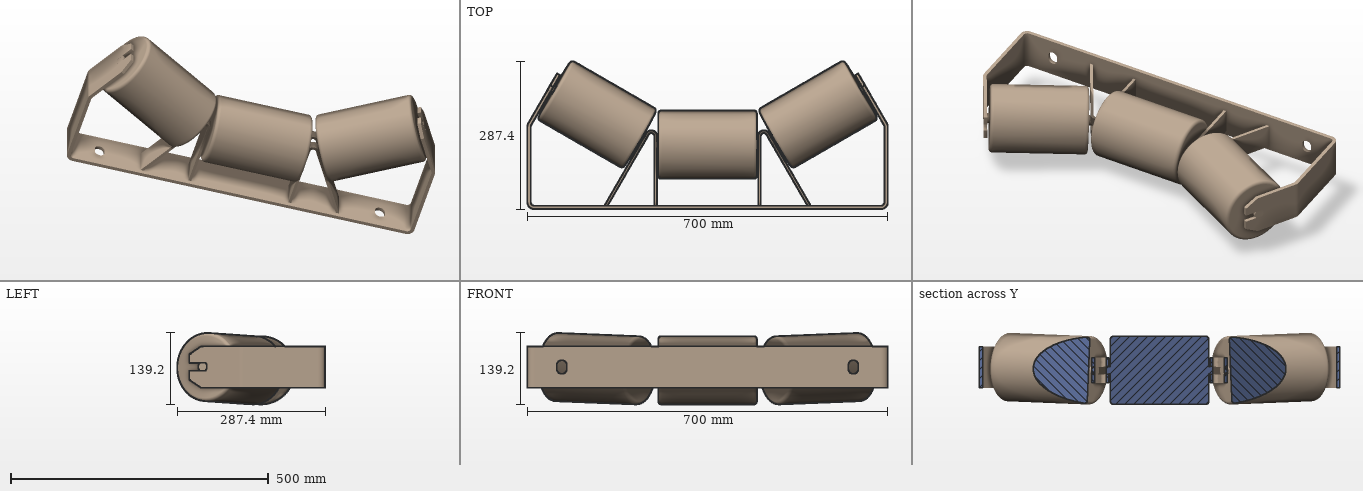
import cadquery as cq
import math

frame_length = 700.0
frame_height = 80.5
frame_thickness = 7.0
frame_bend_radius = 14.0
arm_bend_y = 159.5
arm_angle = 30.0
arm_length = 112.0
arm_chamfer_length = 26.5
arm_chamfer_height = 15.5
mount_hole_x = 283.0
mount_hole_width = 19.5
mount_hole_height = 26.5

bracket_height = 50.0
bracket_thickness = 5.5
bracket_bend_radius = 11.0
bracket_face_x = 98.0
bracket_top_y = 153.0

roller_diameter = 133.0
roller_length = 192.0
roller_edge_fillet = 6.0
shaft_diameter = 19.5
shaft_flat_width = 15.0
middle_roller_y = 125.0
middle_roller_z = -6.0
side_roller_x = 214.0
side_roller_y = 184.0
side_roller_z = middle_roller_z / 2
side_roller_tilt = 2.0

slot_run = 70.0

sin_arm = math.sin(math.radians(arm_angle))
cos_arm = math.cos(math.radians(arm_angle))

arm_bend_center = (-frame_length / 2 + frame_bend_radius, arm_bend_y)
bracket_bend_center = (-bracket_face_x - bracket_bend_radius, bracket_top_y - bracket_bend_radius)


def inward_distance(point):
    """Distance of an XY point along the left roller's inward axis direction."""
    return point[0] * cos_arm - point[1] * sin_arm


side_roller_position = inward_distance((-side_roller_x, side_roller_y))
arm_outer_position = inward_distance(arm_bend_center) - frame_bend_radius
bracket_outer_position = inward_distance(bracket_bend_center) - bracket_bend_radius
arm_reach = side_roller_position - arm_outer_position
bracket_reach = bracket_outer_position + bracket_thickness - side_roller_position
middle_reach = bracket_face_x + bracket_thickness


def mirrored(body):
    return body.mirror("YZ")


def place_left(body):
    """Move a body built along X about the origin to the left side roller's place."""
    return (
        body.rotate((0, 0, 0), (0, 1, 0), side_roller_tilt)
        .rotate((0, 0, 0), (0, 0, 1), -arm_angle)
        .translate((-side_roller_x, side_roller_y, side_roller_z))
    )


def place_middle(body):
    return body.translate((0, middle_roller_y, middle_roller_z))


def shaft_section(x_start, x_end):
    """Round shaft along X with a flat above and a flat below."""
    length = x_end - x_start
    shaft = cq.Workplane("YZ", origin=(x_start, 0, 0)).circle(shaft_diameter / 2).extrude(length)
    flats = (
        cq.Workplane("YZ", origin=(x_start, 0, 0))
        .rect(shaft_diameter, shaft_flat_width)
        .extrude(length)
    )
    return shaft.intersect(flats)


def make_slot(x_start, x_end):
    """Cutter for a shaft seat that is open toward +Y."""
    opening = cq.Workplane("XY").box(
        x_end - x_start, slot_run, shaft_flat_width, centered=(False, False, True)
    )
    return shaft_section(x_start, x_end).union(opening.translate((x_start, 0, 0)))


def make_roller(left_reach, right_reach):
    """Roller shell along X with its shaft, reaching the given distances from the middle."""
    shell = (
        cq.Workplane("YZ", origin=(-roller_length / 2, 0, 0))
        .circle(roller_diameter / 2)
        .extrude(roller_length)
        .edges()
        .fillet(roller_edge_fillet)
    )
    return shell.union(shaft_section(-left_reach, right_reach))


def arc_point(center, radius, angle):
    """Point on a circle, with the angle in degrees from +X."""
    turn = math.radians(angle)
    return (center[0] + radius * math.cos(turn), center[1] + radius * math.sin(turn))


def make_half_frame():
    """Left half of the bent bar, cut at the middle of its length."""
    left = -frame_length / 2
    inner_radius = frame_bend_radius - frame_thickness
    corner = (left + frame_bend_radius, frame_bend_radius)
    corner_mid_angle = 225
    arm_end_angle = 180 - arm_angle
    arm_mid_angle = 180 - arm_angle / 2
    outer_arm_start = arc_point(arm_bend_center, frame_bend_radius, arm_end_angle)
    outer_tip = (outer_arm_start[0] + arm_length * sin_arm, outer_arm_start[1] + arm_length * cos_arm)
    inner_tip = (outer_tip[0] + frame_thickness * cos_arm, outer_tip[1] - frame_thickness * sin_arm)
    half = (
        cq.Workplane("XY", origin=(0, 0, -frame_height / 2))
        .moveTo(0, 0)
        .lineTo(corner[0], 0)
        .threePointArc(arc_point(corner, frame_bend_radius, corner_mid_angle), (left, corner[1]))
        .lineTo(left, arm_bend_y)
        .threePointArc(
            arc_point(arm_bend_center, frame_bend_radius, arm_mid_angle), outer_arm_start
        )
        .lineTo(*outer_tip)
        .lineTo(*inner_tip)
        .lineTo(*arc_point(arm_bend_center, inner_radius, arm_end_angle))
        .threePointArc(
            arc_point(arm_bend_center, inner_radius, arm_mid_angle),
            (left + frame_thickness, arm_bend_y),
        )
        .lineTo(left + frame_thickness, corner[1])
        .threePointArc(arc_point(corner, inner_radius, corner_mid_angle), (corner[0], frame_thickness))
        .lineTo(0, frame_thickness)
        .close()
        .extrude(frame_height)
    )
    half = half.cut(arm_corner_cutters(outer_tip))
    return half.cut(place_left(make_slot(-arm_reach - frame_thickness, -roller_length / 2)))


def arm_corner_cutters(outer_tip):
    """Two wedges that chamfer the upper and lower corners of the left arm's tip."""
    arm_face = cq.Plane(
        origin=(outer_tip[0], outer_tip[1], 0), xDir=(sin_arm, cos_arm, 0), normal=(-cos_arm, sin_arm, 0)
    )
    edge = frame_height / 2
    upper_wedge = (
        cq.Workplane(arm_face)
        .polyline([(0, edge), (-arm_chamfer_length, edge), (0, edge - arm_chamfer_height)])
        .close()
        .extrude(2 * frame_thickness, both=True)
    )
    return upper_wedge.union(upper_wedge.mirror("XY"))


def make_frame():
    half = make_half_frame()
    mount_holes = (
        cq.Workplane("XZ")
        .pushPoints([(-mount_hole_x, 0), (mount_hole_x, 0)])
        .slot2D(mount_hole_height, mount_hole_width, 90)
        .extrude(-2 * frame_thickness)
    )
    return half.union(mirrored(half)).clean().cut(mount_holes)


def make_left_bracket():
    inner_radius = bracket_bend_radius - bracket_thickness
    center = bracket_bend_center
    lean_end_angle = 180 - arm_angle
    middle_angle = lean_end_angle / 2
    outer_start = arc_point(center, bracket_bend_radius, lean_end_angle)
    inner_start = arc_point(center, inner_radius, lean_end_angle)

    def foot(point):
        """Where the leaning leg's line through a point meets the frame's base."""
        return (point[0] - (point[1] - frame_thickness) * sin_arm / cos_arm, frame_thickness)

    bracket = (
        cq.Workplane("XY", origin=(0, 0, middle_roller_z - bracket_height / 2))
        .moveTo(*foot(outer_start))
        .lineTo(*outer_start)
        .threePointArc(
            arc_point(center, bracket_bend_radius, middle_angle),
            arc_point(center, bracket_bend_radius, 0),
        )
        .lineTo(-bracket_face_x, frame_thickness)
        .lineTo(-bracket_face_x - bracket_thickness, frame_thickness)
        .lineTo(*arc_point(center, inner_radius, 0))
        .threePointArc(arc_point(center, inner_radius, middle_angle), inner_start)
        .lineTo(*foot(inner_start))
        .close()
        .extrude(bracket_height)
    )
    middle_slot = place_middle(make_slot(-middle_reach - inner_radius, -roller_length / 2))
    side_slot = place_left(make_slot(roller_length / 2, bracket_reach + inner_radius))
    return bracket.cut(middle_slot).cut(side_slot)


frame = make_frame()

left_bracket = make_left_bracket()
brackets = [left_bracket, mirrored(left_bracket)]

left_roller = place_left(make_roller(arm_reach, bracket_reach))
middle_roller = place_middle(make_roller(middle_reach, middle_reach))
rollers = [left_roller, middle_roller, mirrored(left_roller)]

result = cq.Compound.makeCompound([body.val() for body in [frame, *brackets, *rollers]])